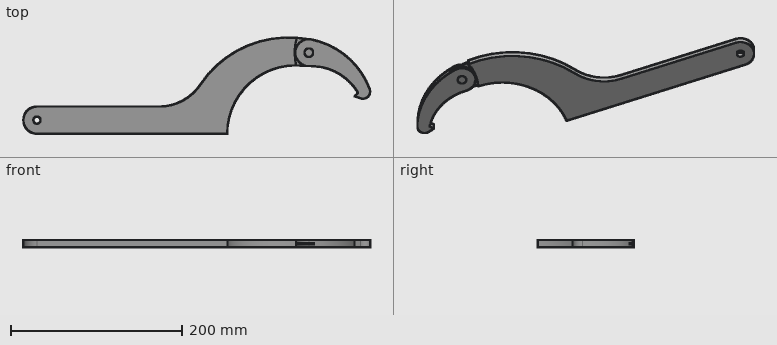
import cadquery as cq
import math

thickness = 9.0

handle_length = 318.5
handle_width = 32.0
hang_hole_diameter = 8.0
jaw_radius = 80.0
back_center = (-8.5, -11.0)
back_radius = 124.0
neck_radius = 57.5

pin_center = (15.5, 95.0)
pin_diameter = 10.0
knuckle_radius = 16.0
tongue_thickness = 2.0
slot_radius = 16.2
shoulder_x = -1.2
shoulder_radius = 60.0

hook_outer_radius = 92.5
hook_inner_center = (18.0, 15.0)
tip_center = (78.8, 49.5)
tip_radius = 8.5
tooth_point = (69.0, 44.0)
tooth_heel_angle = 250
notch_angle = 31


def point_on(center, radius, degrees):
    """Point of a circle at the given angle from +X."""
    angle = math.radians(degrees)
    return (center[0] + radius * math.cos(angle), center[1] + radius * math.sin(angle))


def angle_to(start, end):
    """Direction from one point to another, in degrees from +X."""
    return math.degrees(math.atan2(end[1] - start[1], end[0] - start[0]))


def left_crossing(center_a, radius_a, center_b, radius_b):
    """Crossing of two circles that lies on the left when going from A to B."""
    span = math.dist(center_a, center_b)
    cosine = (radius_a**2 + span**2 - radius_b**2) / (2 * radius_a * span)
    return point_on(center_a, radius_a, angle_to(center_a, center_b) + math.degrees(math.acos(cosine)))


def plate(outline, height):
    """Extrude a closed outline evenly about mid thickness."""
    return outline.extrude(height / 2, both=True)


def disc(center, radius, height):
    return plate(cq.Workplane("XY").center(*center).circle(radius), height)


def make_handle():
    """Handle with a quarter-ring jaw that ends in a thin hinge tongue."""
    end_radius = handle_width / 2
    end_x = end_radius - handle_length
    neck_y = handle_width + neck_radius
    neck_rise = neck_y - back_center[1]
    neck_x = back_center[0] - math.sqrt((back_radius + neck_radius) ** 2 - neck_rise**2)
    neck_center = (neck_x, neck_y)
    neck_end_angle = angle_to(neck_center, back_center)
    back_start_angle = neck_end_angle + 180
    back_run = pin_center[0] - back_center[0]
    back_end = (pin_center[0], back_center[1] + math.sqrt(back_radius**2 - back_run**2))
    back_end_angle = angle_to(back_center, back_end)
    jaw_end = (0, jaw_radius)

    outline = (
        cq.Workplane("XY")
        .moveTo(end_x, handle_width)
        .lineTo(neck_x, handle_width)
        .threePointArc(
            point_on(neck_center, neck_radius, (neck_end_angle - 90) / 2),
            point_on(neck_center, neck_radius, neck_end_angle),
        )
        .threePointArc(
            point_on(back_center, back_radius, (back_start_angle + back_end_angle) / 2),
            back_end,
        )
        .threePointArc(
            point_on(pin_center, knuckle_radius, 0),
            point_on(pin_center, knuckle_radius, -90),
        )
        .lineTo(*jaw_end)
        .threePointArc(point_on((0, 0), jaw_radius, 135), (-jaw_radius, 0))
        .lineTo(end_x, 0)
        .threePointArc((-handle_length, end_radius), (end_x, handle_width))
        .close()
    )
    blank = plate(outline, thickness)
    shoulder_center = (shoulder_x + shoulder_radius, pin_center[1])
    hollow = disc(shoulder_center, shoulder_radius, thickness)
    tongue_band = disc(shoulder_center, shoulder_radius, tongue_thickness)
    hang_hole = disc((end_x, end_radius), hang_hole_diameter / 2, thickness)
    pin_hole = disc(pin_center, pin_diameter / 2, thickness)
    return blank.cut(hollow.cut(tongue_band)).cut(hang_hole).cut(pin_hole)


def make_hook():
    """Curved hook with a tooth at its tip and a slot for the tongue."""
    outer_center = left_crossing(
        tip_center, hook_outer_radius - tip_radius, pin_center, hook_outer_radius - knuckle_radius
    )
    inner_end = (pin_center[0], pin_center[1] - knuckle_radius)
    inner_radius = math.dist(hook_inner_center, inner_end)
    inner_end_angle = angle_to(hook_inner_center, inner_end)
    knuckle_angle = angle_to(outer_center, pin_center)
    tip_angle = angle_to(outer_center, tip_center)

    outline = (
        cq.Workplane("XY")
        .moveTo(*tooth_point)
        .lineTo(*point_on(hook_inner_center, inner_radius, notch_angle))
        .threePointArc(
            point_on(hook_inner_center, inner_radius, (notch_angle + inner_end_angle) / 2),
            inner_end,
        )
        .threePointArc(
            point_on(pin_center, knuckle_radius, 180),
            point_on(pin_center, knuckle_radius, knuckle_angle),
        )
        .threePointArc(
            point_on(outer_center, hook_outer_radius, (knuckle_angle + tip_angle) / 2),
            point_on(outer_center, hook_outer_radius, tip_angle),
        )
        .threePointArc(
            point_on(tip_center, tip_radius, -45),
            point_on(tip_center, tip_radius, tooth_heel_angle),
        )
        .close()
    )
    slot = disc(pin_center, slot_radius, tongue_thickness)
    pin_hole = disc(pin_center, pin_diameter / 2, thickness)
    return plate(outline, thickness).cut(slot).cut(pin_hole)


handle = make_handle()
hook = make_hook()
pin = disc(pin_center, pin_diameter / 2, thickness)

result = cq.Compound.makeCompound([handle.val(), hook.val(), pin.val()])